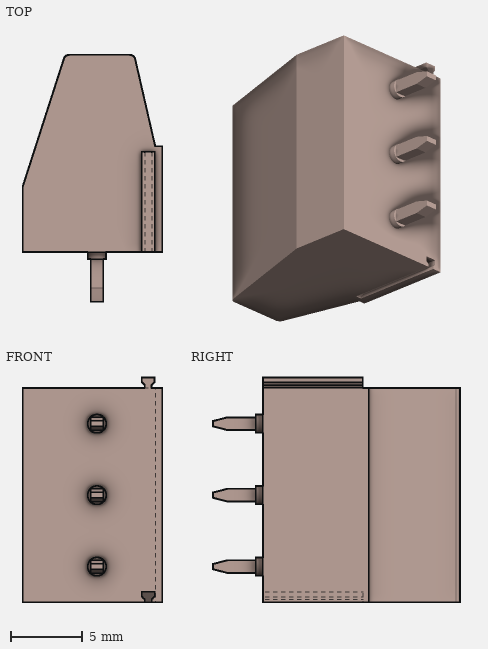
import cadquery as cq


TOTAL_LENGTH = 17.3
BODY_WIDTH = 9.8
POLE_COUNT = 3
POLE_PITCH = 5.0
PIN_LENGTH = 3.5
BODY_LENGTH = TOTAL_LENGTH - PIN_LENGTH
BODY_HEIGHT = POLE_COUNT * POLE_PITCH

LEFT_WALL_LENGTH = 4.57
RIGHT_WALL_LENGTH = 7.4
SHELF_WIDTH = 0.5
NOSE_LEFT_X = 2.98
NOSE_RIGHT_X = 7.82
NOSE_RADIUS = 0.4

RAIL_HEIGHT = 0.75
RAIL_LENGTH = 7.0
RAIL_WIDTH = 0.9
RAIL_NECK_WIDTH = 0.5
RAIL_NECK_HEIGHT = 0.2
RAIL_TAPER_HEIGHT = (RAIL_WIDTH - RAIL_NECK_WIDTH) / 2
RAIL_TO_RIGHT_WALL = 1.0
RAIL_CENTER_X = BODY_WIDTH - RAIL_TO_RIGHT_WALL

PIN_X = 5.2
COLLAR_DIAMETER = 1.3
COLLAR_LENGTH = 0.5
BLADE_SIZE = 0.9
TIP_LENGTH = 1.0
TIP_THICKNESS = 0.38


def make_body():
    """Wedge-shaped housing with a narrow shelf on the right and a rounded nose."""
    outline = [
        (0, 0),
        (BODY_WIDTH, 0),
        (BODY_WIDTH, RIGHT_WALL_LENGTH),
        (BODY_WIDTH - SHELF_WIDTH, RIGHT_WALL_LENGTH),
        (NOSE_RIGHT_X, BODY_LENGTH),
        (NOSE_LEFT_X, BODY_LENGTH),
        (0, LEFT_WALL_LENGTH),
    ]
    block = cq.Workplane("XY").polyline(outline).close().extrude(BODY_HEIGHT)
    return block.faces(">Y").edges("|Z").fillet(NOSE_RADIUS)


def make_rail(base_z):
    """Dovetail bar standing on base_z, narrow at its foot, running from the pin face."""
    half_neck = RAIL_NECK_WIDTH / 2
    half_width = RAIL_WIDTH / 2
    flank_top = RAIL_NECK_HEIGHT + RAIL_TAPER_HEIGHT
    profile = [
        (-half_neck, 0),
        (half_neck, 0),
        (half_neck, RAIL_NECK_HEIGHT),
        (half_width, flank_top),
        (half_width, RAIL_HEIGHT),
        (-half_width, RAIL_HEIGHT),
        (-half_width, flank_top),
        (-half_neck, RAIL_NECK_HEIGHT),
    ]
    rail_plane = cq.Workplane("XZ", origin=(RAIL_CENTER_X, 0, base_z))
    return rail_plane.polyline(profile).close().extrude(-RAIL_LENGTH)


def make_pin(center_z):
    """Round collar carrying a square blade whose tip tapers in Z only."""
    collar_plane = cq.Workplane("XZ", origin=(PIN_X, 0, center_z))
    collar = collar_plane.circle(COLLAR_DIAMETER / 2).extrude(COLLAR_LENGTH)
    half_blade = BLADE_SIZE / 2
    half_tip = TIP_THICKNESS / 2
    taper_start = TIP_LENGTH - PIN_LENGTH
    side_profile = [
        (0, -half_blade),
        (taper_start, -half_blade),
        (-PIN_LENGTH, -half_tip),
        (-PIN_LENGTH, half_tip),
        (taper_start, half_blade),
        (0, half_blade),
    ]
    blade_plane = cq.Workplane("YZ", origin=(PIN_X, 0, center_z))
    blade = blade_plane.polyline(side_profile).close().extrude(half_blade, both=True)
    return collar.union(blade)


result = make_body().union(make_rail(BODY_HEIGHT)).cut(make_rail(0))
for pole in range(POLE_COUNT):
    result = result.union(make_pin((pole + 0.5) * POLE_PITCH))